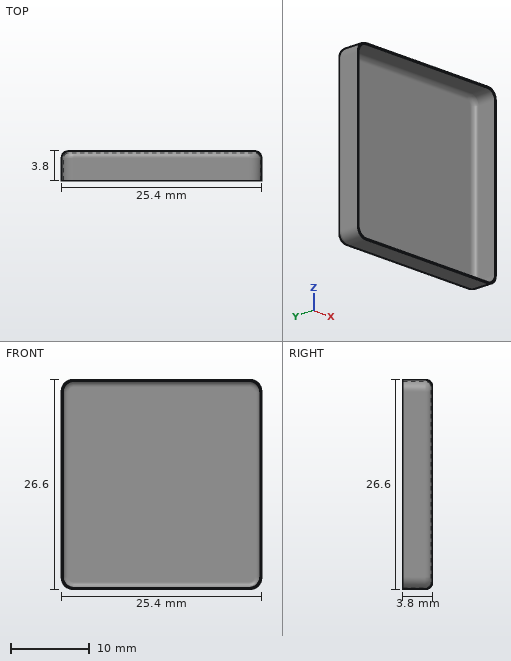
import cadquery as cq

width = 25.4
depth = 3.8
height = 26.6
wall = 0.2
corner_radius = 1.52
floor_edge_radius = 0.9


def rounded_block(inset):
    """Block offset inward by inset, with rounded corners and a rounded rear edge."""
    block_depth = depth - inset
    return (
        cq.Workplane("XZ")
        .rect(width - 2 * inset, height - 2 * inset)
        .extrude(-block_depth)
        .edges("|Y")
        .fillet(corner_radius - inset)
        .faces(">Y")
        .edges()
        .fillet(floor_edge_radius - inset)
    )


outer_shell = rounded_block(0)
cavity = rounded_block(wall)

result = outer_shell.cut(cavity)